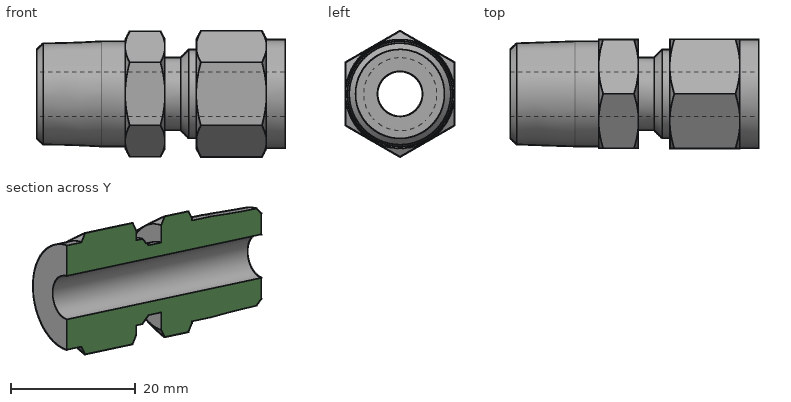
import cadquery as cq
import math

total_length = 39.88
tip_chamfer_end = 1.05
taper_end = 10.35
body_hex_start = 14.2
body_hex_end = 20.58
cone_start = 23.1
cone_end = 24.35
nut_hex_start = 25.6
nut_hex_end = 36.85

bore_radius = 3.6
tip_radius = 7.15
taper_small_radius = 8.15
shank_radius = 8.45
neck_radius = 5.85
shoulder_radius = 7.15
collar_radius = 8.75

body_across_flats = 17.45
nut_across_flats = 17.55
corner_chamfer_angle = math.radians(28)
hex_sides = 6
side_angle = 2 * math.pi / hex_sides


def turned_core():
    """Solid of revolution about X: tapered shank, neck, shoulder and tube-end collar."""
    return (
        cq.Workplane("XY")
        .moveTo(0, 0)
        .lineTo(0, tip_radius)
        .lineTo(tip_chamfer_end, taper_small_radius)
        .lineTo(taper_end, shank_radius)
        .lineTo(body_hex_start, shank_radius)
        .lineTo(body_hex_start, neck_radius)
        .lineTo(cone_start, neck_radius)
        .lineTo(cone_end, shoulder_radius)
        .lineTo(nut_hex_start, shoulder_radius)
        .lineTo(nut_hex_start, collar_radius)
        .lineTo(total_length, collar_radius)
        .lineTo(total_length, 0)
        .close()
        .revolve(360, (0, 0, 0), (1, 0, 0))
    )


def chamfered_hex(start, end, across_flats):
    """Hexagonal prism along X, corners on +Z and -Z, both ends turned to a cone."""
    flat_radius = across_flats / 2
    corner_radius = flat_radius / math.cos(side_angle / 2)
    chamfer_length = (corner_radius - flat_radius) * math.tan(corner_chamfer_angle)
    corners = [
        (corner_radius * math.sin(side_angle * i), corner_radius * math.cos(side_angle * i))
        for i in range(hex_sides)
    ]
    prism = (
        cq.Workplane("YZ", origin=(start, 0, 0))
        .polyline(corners)
        .close()
        .extrude(end - start)
    )
    envelope = (
        cq.Workplane("XY")
        .moveTo(start, 0)
        .lineTo(start, flat_radius)
        .lineTo(start + chamfer_length, corner_radius)
        .lineTo(end - chamfer_length, corner_radius)
        .lineTo(end, flat_radius)
        .lineTo(end, 0)
        .close()
        .revolve(360, (0, 0, 0), (1, 0, 0))
    )
    return prism.intersect(envelope)


body_hex = chamfered_hex(body_hex_start, body_hex_end, body_across_flats)
nut_hex = chamfered_hex(nut_hex_start, nut_hex_end, nut_across_flats)
bore = cq.Workplane("YZ").circle(bore_radius).extrude(total_length)

result = turned_core().union(body_hex).union(nut_hex).cut(bore)